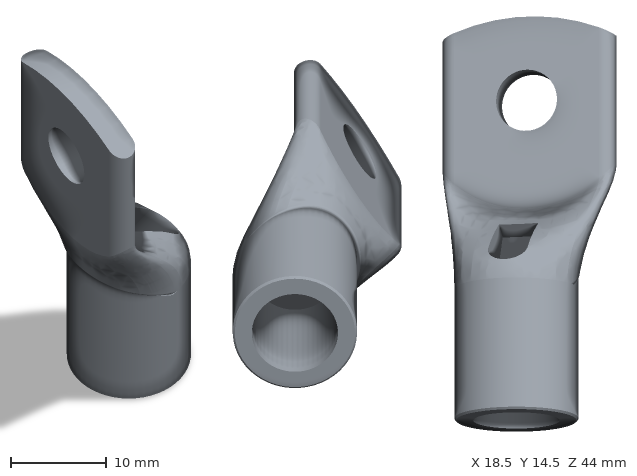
import cadquery as cq
import math

barrel_diameter = 13.0
bore_diameter = 9.0
barrel_radius = barrel_diameter / 2
barrel_height = 14.0
barrel_edge_chamfer = 0.2

shoulder_slope_start_y = 1.0
shoulder_slope_angle = 27
barrel_slope_angle = 29
shoulder_lip_radius = 0.35

total_height = 43.95
palm_width = 18.5
palm_thickness = 3.0
total_depth = 14.5
palm_front_y = barrel_radius - total_depth
palm_back_y = palm_front_y + palm_thickness
palm_top_radius = 21.28
palm_bottom_radius = 11.83
palm_bottom_height = 23.5
bolt_hole_diameter = 6.5
bolt_hole_height = 35.05

neck_corner_angle = 23
neck_lower_pull = 15.4
neck_upper_pull_ratio = 0.45
neck_sections = 6
neck_edge_points = 9
sewing_tolerance = 0.0001

bore_depth = 15.0
slot_width = 4.2
slot_length = 7.85
slot_climb_angle = 30
slot_bottom_y = 3.9
slot_reach = 13.2


def below_shoulder(slope_angle):
    """Large block filling everything under the flat and sloping shoulder."""
    reach = barrel_diameter
    rise = reach * math.tan(math.radians(slope_angle))
    profile = [
        (reach, -reach),
        (reach, barrel_height),
        (shoulder_slope_start_y, barrel_height),
        (shoulder_slope_start_y - reach, barrel_height + rise),
        (shoulder_slope_start_y - reach, -reach),
    ]
    return cq.Workplane("YZ").polyline(profile).close().extrude(reach, both=True)


def make_barrel():
    """Cylinder with a chamfered foot, trimmed at the top to the shoulder."""
    cylinder = cq.Workplane("XY").circle(barrel_radius).extrude(total_height)
    cylinder = cylinder.faces("<Z").chamfer(barrel_edge_chamfer)
    return cylinder.intersect(below_shoulder(barrel_slope_angle))


def make_palm():
    """Round-edged slab with a crowned top and a rounded lower end."""
    slab = (
        cq.Workplane("XY")
        .center(0, (palm_front_y + palm_back_y) / 2)
        .slot2D(palm_width, palm_thickness)
        .extrude(total_height)
    )

    def disc(radius, centre_height):
        """Solid disc whose axis runs front to back."""
        plane = cq.Workplane("XZ").center(0, centre_height)
        return plane.circle(radius).extrude(total_depth, both=True)

    top_disc = disc(palm_top_radius, total_height - palm_top_radius)
    lower_arc_centre = palm_bottom_height + palm_bottom_radius
    lower_disc = disc(palm_bottom_radius, lower_arc_centre)
    upper_block = (
        cq.Workplane("XY", origin=(0, 0, lower_arc_centre))
        .rect(2 * palm_bottom_radius, 2 * total_depth)
        .extrude(total_height)
    )
    return slab.intersect(top_disc).intersect(lower_disc.union(upper_block))


def palm_lower_edges(face):
    """Front, right, back and left edges of the lower palm face."""
    edges = face.outerWire().Edges()
    return [
        min(edges, key=lambda edge: edge.Center().y),
        max(edges, key=lambda edge: edge.Center().x),
        max(edges, key=lambda edge: edge.Center().y),
        min(edges, key=lambda edge: edge.Center().x),
    ]


def barrel_rim_point(angle):
    """Point on the rim of the barrel at the height of its flat shoulder."""
    turn = math.radians(angle)
    return cq.Vector(barrel_radius * math.cos(turn), barrel_radius * math.sin(turn), barrel_height)


def neck_point(low, high, t):
    """Point at fraction t on a Bezier cubic leaving low and reaching high vertically."""
    up = cq.Vector(0, 0, 1)
    upper_pull = neck_upper_pull_ratio * (high.z - low.z)
    low_handle = low + up * (neck_lower_pull / 3)
    high_handle = high - up * (upper_pull / 3)
    s = 1 - t
    return low * s**3 + low_handle * (3 * s * s * t) + high_handle * (3 * s * t * t) + high * t**3


def neck_sides(upper_edges):
    """Matching point rows on the barrel rim and the palm: front, right, back and left."""
    corners = [
        180 + neck_corner_angle,
        360 - neck_corner_angle,
        360 + neck_corner_angle,
        540 - neck_corner_angle,
        540 + neck_corner_angle,
    ]
    steps = [i / (neck_edge_points - 1) for i in range(neck_edge_points)]
    sides = []
    for edge, start, end in zip(upper_edges, corners, corners[1:]):
        low_row = [barrel_rim_point(start + (end - start) * step) for step in steps]
        high_row = edge.positions(steps)
        runs_backwards = (high_row[-1] - high_row[0]).dot(low_row[-1] - low_row[0]) < 0
        if runs_backwards:
            high_row.reverse()
        sides.append((low_row, high_row))
    return sides


def make_neck(palm):
    """Closed solid skinned from the barrel rim up to the curved lower face of the palm."""
    palm_face = palm.faces("<Z").val()
    upper_edges = palm_lower_edges(palm_face)
    sides = neck_sides(upper_edges)

    middle = neck_edge_points // 2
    rim_edges = [cq.Edge.makeThreePointArc(low[0], low[middle], low[-1]) for low, _ in sides]
    wires = [cq.Wire.assembleEdges(rim_edges)]
    for i in range(1, neck_sections):
        t = i / neck_sections
        rows = [[neck_point(low, high, t) for low, high in zip(*side)] for side in sides]
        wires.append(cq.Wire.assembleEdges([cq.Edge.makeSpline(row) for row in rows]))
    wires.append(cq.Wire.assembleEdges(upper_edges))

    skin = cq.occ_impl.shapes.loft(*wires)
    floor = cq.Face.makeFromWires(wires[0])
    shell = cq.occ_impl.shapes.shell(*skin.Faces(), floor, palm_face, tol=sewing_tolerance)
    return cq.Workplane(cq.Solid.makeSolid(shell))


def round_lip(neck):
    """Round the overhanging front edge of the neck where it meets the sloping shoulder."""
    slope = neck.faces("%PLANE").faces("<Y")
    return slope.edges("not %LINE").fillet(shoulder_lip_radius)


def make_bolt_hole():
    plane = cq.Workplane("XZ").center(0, bolt_hole_height)
    return plane.circle(bolt_hole_diameter / 2).extrude(total_depth, both=True)


def make_bore():
    return cq.Workplane("XY").circle(bore_diameter / 2).extrude(bore_depth)


def make_slot():
    """Slot with a half-round bottom and a square top, cut along a climbing direction."""
    angle = math.radians(slot_climb_angle)
    slot_plane = cq.Plane(
        origin=(0, 0, bore_depth),
        xDir=(-1, 0, 0),
        normal=(0, math.cos(angle), math.sin(angle)),
    )
    half_width = slot_width / 2
    bottom = -slot_bottom_y * math.sin(angle)
    top = bottom + slot_length
    return (
        cq.Workplane(slot_plane)
        .moveTo(half_width, top)
        .lineTo(-half_width, top)
        .lineTo(-half_width, bottom + half_width)
        .threePointArc((0, bottom), (half_width, bottom + half_width))
        .close()
        .extrude(slot_reach)
    )


palm = make_palm()
neck = round_lip(make_neck(palm).cut(below_shoulder(shoulder_slope_angle)))
lug = make_barrel().union(neck).union(palm)
result = lug.cut(make_bolt_hole()).cut(make_bore()).cut(make_slot())